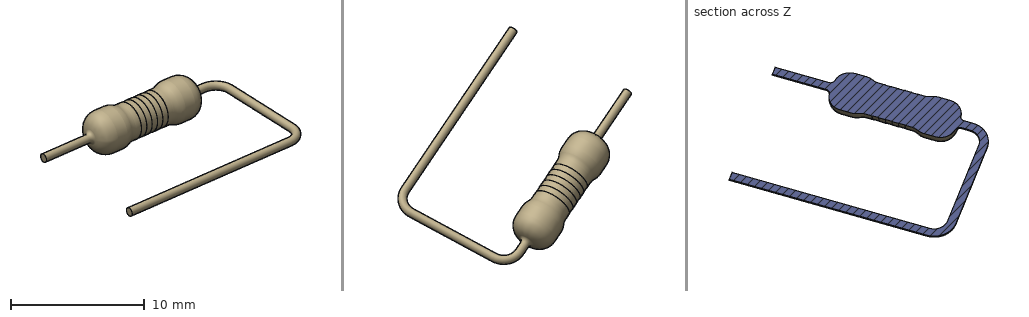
import cadquery as cq
import math

wire_diameter = 0.7
lead_pitch = 10.0
lead_end_y = -9.6
overall_length = 17.35
bend_radius = 1.39

cap_diameter = 3.5
waist_diameter = 3.0
groove_diameter = 2.97
groove_count = 3
band_width = 0.52

cap_inner_edge = 2.83
cap_outer_edge = 3.76
body_half_length = 5.33
neck_fillet_radius = 0.35

wire_radius = wire_diameter / 2
cap_radius = cap_diameter / 2
waist_radius = waist_diameter / 2

waist_half_length = (2 * groove_count + 1) * band_width / 2

flare_step = (cap_radius - waist_radius) / 2
flare_half_length = (cap_inner_edge - waist_half_length) / 2
flare_radius = (flare_half_length**2 + flare_step**2) / (2 * flare_step)
flare_middle = (waist_radius + flare_step, waist_half_length + flare_half_length)

neck_center_radius = wire_radius + neck_fillet_radius
shoulder_height = body_half_length - cap_outer_edge
outer_reach = cap_radius + neck_fillet_radius
shoulder_center_radius = (outer_reach**2 - neck_center_radius**2 - shoulder_height**2) / (
    2 * (outer_reach - neck_center_radius)
)
shoulder_radius = cap_radius - shoulder_center_radius
shoulder_angle = math.atan2(shoulder_height, neck_center_radius - shoulder_center_radius)


def arc_point(center, radius, angle):
    """Point at the given angle on a circle in the profile plane."""
    return (center[0] + radius * math.cos(angle), center[1] + radius * math.sin(angle))


def make_half_body():
    """Revolve the +Y half of the body: waist, flare, cap, shoulder and neck."""
    half_flare_angle = math.asin(flare_half_length / flare_radius) / 2
    waist_arc_center = (waist_radius + flare_radius, waist_half_length)
    cap_arc_center = (cap_radius - flare_radius, cap_inner_edge)
    shoulder_center = (shoulder_center_radius, cap_outer_edge)
    neck_center = (neck_center_radius, body_half_length)
    neck_middle_angle = (shoulder_angle + math.pi + math.pi) / 2
    profile = (
        cq.Workplane("XY")
        .lineTo(waist_radius, 0)
        .lineTo(waist_radius, waist_half_length)
        .threePointArc(arc_point(waist_arc_center, flare_radius, math.pi - half_flare_angle), flare_middle)
        .threePointArc(
            arc_point(cap_arc_center, flare_radius, -half_flare_angle),
            (cap_radius, cap_inner_edge),
        )
        .lineTo(cap_radius, cap_outer_edge)
        .threePointArc(
            arc_point(shoulder_center, shoulder_radius, shoulder_angle / 2),
            arc_point(shoulder_center, shoulder_radius, shoulder_angle),
        )
        .threePointArc(
            arc_point(neck_center, neck_fillet_radius, neck_middle_angle),
            (wire_radius, body_half_length),
        )
        .lineTo(0, body_half_length)
        .close()
    )
    return profile.revolve(360, (0, 0, 0), (0, 1, 0))


def make_groove(center_y):
    """Ring that cuts one shallow groove into the waist."""
    return (
        cq.Workplane("XZ", origin=(0, center_y + band_width / 2, 0))
        .circle(cap_radius)
        .circle(groove_diameter / 2)
        .extrude(band_width)
    )


def make_body():
    half_body = make_half_body()
    body = half_body.union(half_body.mirror("XZ"))
    for index in range(groove_count):
        center_y = (index - (groove_count - 1) / 2) * 2 * band_width
        body = body.cut(make_groove(center_y))
    return body


def make_straight_lead():
    return (
        cq.Workplane("XZ", origin=(0, -body_half_length, 0))
        .circle(wire_radius)
        .extrude(-body_half_length - lead_end_y)
    )


def make_bent_lead():
    """Sweep the wire up from the body, across, and back down beside it."""
    crossing_y = lead_end_y + overall_length - wire_radius
    bend_start_y = crossing_y - bend_radius
    bend_inset = bend_radius * (1 - math.sqrt(0.5))
    path = (
        cq.Workplane("XY")
        .moveTo(0, body_half_length)
        .lineTo(0, bend_start_y)
        .threePointArc((bend_inset, crossing_y - bend_inset), (bend_radius, crossing_y))
        .lineTo(lead_pitch - bend_radius, crossing_y)
        .threePointArc((lead_pitch - bend_inset, crossing_y - bend_inset), (lead_pitch, bend_start_y))
        .lineTo(lead_pitch, lead_end_y)
    )
    return cq.Workplane("XZ", origin=(0, body_half_length, 0)).circle(wire_radius).sweep(path)


result = make_body().union(make_straight_lead()).union(make_bent_lead())